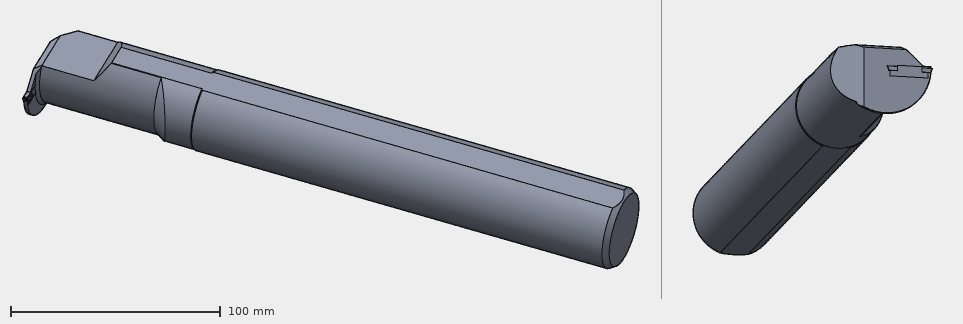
import cadquery as cq
import math

LENGTH = 300.0
SHANK_RADIUS = 20.0
FLAT_HEIGHT = 19.0
SHANK_START = 84.0
SHOULDER_LENGTH = 0.5
END_BEVEL_LENGTH = 3.0
END_BEVEL_DEPTH = 1.8
NECK_RADIUS = 19.8
OVERSIZE = 60.0

HEAD_AXIS_Y = 8.7
HEAD_RADIUS = 24.0
HEAD_END = 63.0
RUNOUT_ANGLE = 30.0
RUNOUT_LENGTH = 12.0

HEAD_TOP = 10.8
RAMP_START = 31.0
RAMP_ANGLE = 52.0
SIDE_BEVEL_Y = 6.3
FRONT_BEVEL_LENGTH = 4.0
FRONT_BEVEL_DEPTH = 2.0

BLADE_FRONT = 0.3
BLADE_BACK = 2.25
HEAD_START = 4.0
ROOT_FLARE = 1.5
BLADE_AXIS_Y = -3.5
BLADE_RADIUS = 22.8
BLADE_SLOPE_TOP_Y = -12.3
BLADE_SLOPE_END = (-22.5, 1.2)

INSERT_TIP_Y = -27.0
INSERT_REAR_Y = -4.8
HEEL_INSET = 1.5
NOSE_RELIEF = 1.0
NOSE_INSET = 2.0
CUTTING_END_LENGTH = 5.0
EDGE_HEIGHT = 0.3
CUTTING_END_BOTTOM = -1.8
INSERT_BOTTOM = -4.5
INSERT_CROWN = 1.0
EDGE_WIDTH = 3.0


def cylinder_x(radius, start, end, axis_y=0.0):
    plane = cq.Workplane("YZ", origin=(start, axis_y, 0))
    return plane.circle(radius).extrude(end - start)


def prism_x(outline, start, end):
    return cq.Workplane("YZ", origin=(start, 0, 0)).polyline(outline).close().extrude(end - start)


def revolve_x(profile, axis_y=0.0):
    """Revolve (x, radius) points about a line parallel to X."""
    return (
        cq.Workplane("XY", origin=(0, axis_y, 0))
        .polyline(profile).close()
        .revolve(360, (0, 0, 0), (1, 0, 0))
    )


def make_shank():
    shank = revolve_x([
        (SHANK_START, 0),
        (SHANK_START, NECK_RADIUS),
        (SHANK_START + SHOULDER_LENGTH, SHANK_RADIUS),
        (LENGTH - END_BEVEL_LENGTH, SHANK_RADIUS),
        (LENGTH, SHANK_RADIUS - END_BEVEL_DEPTH),
        (LENGTH, 0),
    ])
    flats = cq.Workplane("XY").box(2 * LENGTH, 2 * OVERSIZE, 2 * FLAT_HEIGHT)
    return shank.intersect(flats)


def make_neck():
    neck = cylinder_x(NECK_RADIUS, HEAD_START, SHANK_START)
    runout_end = HEAD_END + RUNOUT_LENGTH
    runout_radius = HEAD_RADIUS + RUNOUT_LENGTH * math.tan(math.radians(RUNOUT_ANGLE))
    relief = revolve_x([
        (HEAD_START, 0),
        (HEAD_START, HEAD_RADIUS),
        (HEAD_END, HEAD_RADIUS),
        (runout_end, runout_radius),
        (SHANK_START, runout_radius),
        (SHANK_START, 0),
    ], HEAD_AXIS_Y)
    return neck.intersect(relief)


def make_flared_back(radius, axis_y):
    """Wide disc with a short cone behind it that narrows to the given radius."""
    return revolve_x([
        (BLADE_FRONT, 0),
        (BLADE_FRONT, OVERSIZE),
        (BLADE_BACK, OVERSIZE),
        (BLADE_BACK, radius + ROOT_FLARE),
        (HEAD_START, radius),
        (HEAD_START, 0),
    ], axis_y)


def make_blade():
    """Rounded blade whose back flares out to the head."""
    middle = math.sqrt(0.5) * BLADE_RADIUS
    left_y = BLADE_AXIS_Y + BLADE_RADIUS
    rim_z = BLADE_SLOPE_END[1]
    rim_y = BLADE_AXIS_Y - math.sqrt(BLADE_RADIUS**2 - rim_z**2)
    outline = (
        cq.Workplane("YZ", origin=(BLADE_FRONT, 0, 0))
        .moveTo(left_y, 0)
        .lineTo(left_y, HEAD_TOP)
        .lineTo(BLADE_SLOPE_TOP_Y, HEAD_TOP)
        .lineTo(*BLADE_SLOPE_END)
        .lineTo(rim_y, rim_z)
        .threePointArc((BLADE_AXIS_Y - middle, -middle), (BLADE_AXIS_Y, -BLADE_RADIUS))
        .threePointArc((BLADE_AXIS_Y + middle, -middle), (left_y, 0))
        .close()
        .extrude(HEAD_START - BLADE_FRONT)
    )
    head_back = make_flared_back(HEAD_RADIUS, HEAD_AXIS_Y)
    neck_back = make_flared_back(NECK_RADIUS, 0)
    return outline.intersect(head_back).intersect(neck_back)


def bevel_front(holder):
    """Lower the top in front of the ramp, and bevel the front and side."""
    rise = OVERSIZE - HEAD_TOP
    top_cut = (
        cq.Workplane("XZ", origin=(0, OVERSIZE, 0))
        .polyline([
            (0, HEAD_TOP - FRONT_BEVEL_DEPTH),
            (FRONT_BEVEL_LENGTH, HEAD_TOP),
            (RAMP_START, HEAD_TOP),
            (RAMP_START + rise / math.tan(math.radians(RAMP_ANGLE)), OVERSIZE),
            (0, OVERSIZE),
        ])
        .close().extrude(2 * OVERSIZE)
    )
    side_cut = (
        cq.Workplane("XY", origin=(0, 0, -OVERSIZE))
        .polyline([
            (0, SIDE_BEVEL_Y),
            (OVERSIZE - SIDE_BEVEL_Y, OVERSIZE),
            (0, OVERSIZE),
        ])
        .close().extrude(2 * OVERSIZE)
    )
    return holder.cut(top_cut).cut(side_cut)


def cut_top_flat(holder):
    flat = (
        cq.Workplane("XY", origin=(0, 0, FLAT_HEIGHT))
        .rect(2 * SHANK_START, 2 * OVERSIZE).extrude(OVERSIZE)
    )
    return holder.cut(flat)


def make_cutting_end(edge_y, inward):
    """Cutting end with its edge at edge_y; inward is the sign of Y toward the middle."""
    inner_y = edge_y + inward * CUTTING_END_LENGTH
    return prism_x([
        (edge_y, EDGE_HEIGHT),
        (edge_y + inward * NOSE_RELIEF, CUTTING_END_BOTTOM),
        (inner_y, CUTTING_END_BOTTOM),
        (inner_y, EDGE_HEIGHT),
    ], 0, EDGE_WIDTH)


def make_insert():
    inner_rear_y = INSERT_REAR_Y - CUTTING_END_LENGTH
    inner_tip_y = INSERT_TIP_Y + CUTTING_END_LENGTH
    rear_end = make_cutting_end(INSERT_REAR_Y, -1)
    tip_end = make_cutting_end(INSERT_TIP_Y, 1)
    web = prism_x([
        (INSERT_REAR_Y - HEEL_INSET, INSERT_BOTTOM),
        (INSERT_REAR_Y - HEEL_INSET, EDGE_HEIGHT),
        (inner_rear_y, EDGE_HEIGHT),
        (inner_rear_y, INSERT_CROWN),
        (inner_tip_y, INSERT_CROWN),
        (inner_tip_y, EDGE_HEIGHT),
        (INSERT_TIP_Y + NOSE_INSET, EDGE_HEIGHT),
        (INSERT_TIP_Y + NOSE_INSET, INSERT_BOTTOM),
    ], BLADE_FRONT, BLADE_BACK)
    return web.union(rear_end).union(tip_end)


insert = make_insert()
holder = make_shank().union(cut_top_flat(make_neck())).union(make_blade())
holder = bevel_front(holder).cut(insert)

result = cq.Compound.makeCompound([holder.val(), insert.val()])